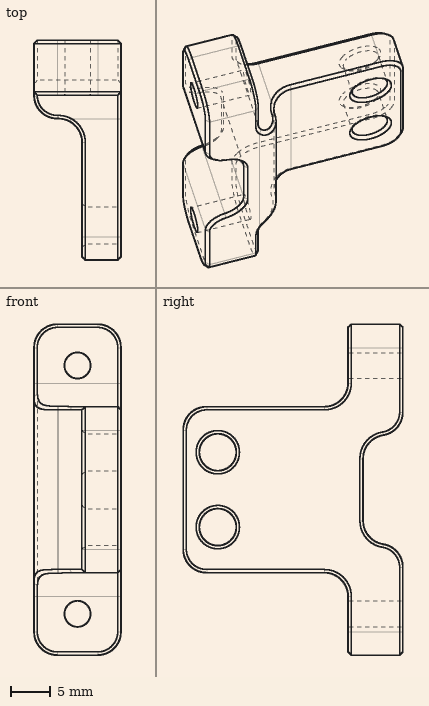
import cadquery as cq
import math

width = 11.1
depth = 28.0
height = 42.2

flange_thickness = 7.0
web_thickness = 5.0
web_height = 21.2
blend_radius = 3.0
edge_chamfer = 0.42

notch_depth = 5.05
notch_floor_half = 3.95

flange_hole_diameter = 3.3
flange_hole_spacing = 31.65
web_hole_diameter = 4.7
web_hole_spacing = 9.55
web_hole_tip_distance = 4.45

right_x = width / 2
left_x = -right_x
web_left_x = right_x - web_thickness
flange_front_y = depth - flange_thickness
blend_end_y = flange_front_y - blend_radius
notch_floor_y = depth - notch_depth
half_height = height / 2
web_top_z = web_height / 2
diagonal_offset = blend_radius * math.sin(math.radians(45))


def flange_outline():
    """Rounded rectangle in XZ, running through the full depth."""
    block = cq.Workplane("XY").box(width, depth, height).translate((0, depth / 2, 0))
    return block.edges("|Y").fillet(blend_radius)


def plan_outline():
    """Flange and web in XY, joined on the left by an S-shaped blend."""
    bend_x = left_x + blend_radius
    concave_x = web_left_x - blend_radius
    concave_y = blend_end_y - blend_radius
    return (
        cq.Workplane("XY")
        .workplane(offset=-half_height)
        .moveTo(right_x, 0)
        .lineTo(right_x, depth)
        .lineTo(left_x, depth)
        .lineTo(left_x, flange_front_y)
        .threePointArc((bend_x - diagonal_offset, flange_front_y - diagonal_offset), (bend_x, blend_end_y))
        .lineTo(concave_x, blend_end_y)
        .threePointArc((concave_x + diagonal_offset, concave_y + diagonal_offset), (web_left_x, concave_y))
        .lineTo(web_left_x, 0)
        .close()
        .extrude(height)
    )


def side_outline():
    """T shape in YZ, with the web rounded at its tip and blended into the flange."""
    flange = cq.Workplane("XY").box(width, flange_thickness, height)
    flange = flange.translate((0, depth - flange_thickness / 2, 0))
    web = cq.Workplane("XY").box(width, depth, web_height).translate((0, depth / 2, 0))
    web = web.edges("|X and <Y").fillet(blend_radius)
    margin = edge_chamfer
    inner_corners = cq.selectors.BoxSelector(
        (left_x, flange_front_y - margin, -web_top_z - margin),
        (right_x, flange_front_y + margin, web_top_z + margin),
    )
    return flange.union(web).edges("|X").edges(inner_corners).fillet(blend_radius)


def back_notch():
    """Notch across the flange back, each end an S of two equal tangent arcs."""
    turn = math.acos(1 - notch_depth / (2 * blend_radius))
    mid_y = depth - notch_depth / 2
    mid_z = notch_floor_half + blend_radius * math.sin(turn)
    mouth_z = notch_floor_half + 2 * blend_radius * math.sin(turn)
    half_turn_y = blend_radius * (1 - math.cos(turn / 2))
    half_turn_z = blend_radius * math.sin(turn / 2)
    floor_arc = (notch_floor_y + half_turn_y, notch_floor_half + half_turn_z)
    mouth_arc = (depth - half_turn_y, mouth_z - half_turn_z)
    return (
        cq.Workplane("YZ")
        .workplane(offset=left_x)
        .moveTo(notch_floor_y, -notch_floor_half)
        .lineTo(notch_floor_y, notch_floor_half)
        .threePointArc(floor_arc, (mid_y, mid_z))
        .threePointArc(mouth_arc, (depth, mouth_z))
        .lineTo(depth, -mouth_z)
        .threePointArc((mouth_arc[0], -mouth_arc[1]), (mid_y, -mid_z))
        .threePointArc((floor_arc[0], -floor_arc[1]), (notch_floor_y, -notch_floor_half))
        .close()
        .extrude(width)
    )


def flange_holes():
    """Plain holes through the flange along Y."""
    return (
        cq.Workplane("XZ")
        .rarray(0.42, flange_hole_spacing, 1, 2)
        .circle(flange_hole_diameter / 2)
        .extrude(-depth)
    )


def web_holes():
    """Holes through the web along X, countersunk at both faces."""
    radius = web_hole_diameter / 2
    rim_radius = radius + edge_chamfer
    profile = [
        (web_left_x, 0),
        (web_left_x, rim_radius),
        (web_left_x + edge_chamfer, radius),
        (right_x - edge_chamfer, radius),
        (right_x, rim_radius),
        (right_x, 0),
    ]
    hole = cq.Workplane("XY").polyline(profile).close()
    hole = hole.revolve(360, (0, 0, 0), (1, 0, 0)).translate((0, web_hole_tip_distance, 0))
    upper = hole.translate((0, 0, web_hole_spacing / 2))
    lower = hole.translate((0, 0, -web_hole_spacing / 2))
    return upper.union(lower)


body = flange_outline().intersect(plan_outline()).intersect(side_outline()).cut(back_notch())

body = body.faces(">Z").edges("|X").edges("<Y or >Y").chamfer(edge_chamfer)

result = body.cut(flange_holes()).cut(web_holes())